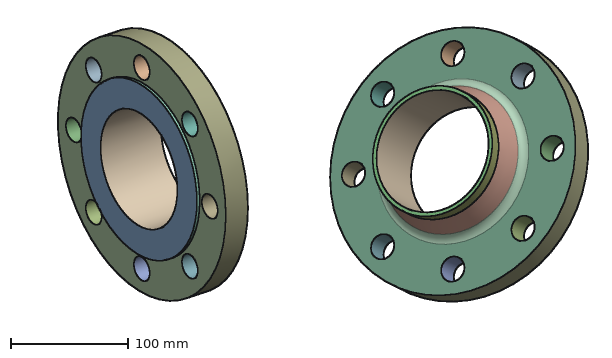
import cadquery as cq

flange_diameter = 235.0
overall_length = 65.0
raised_face_diameter = 162.2
raised_face_height = 3.0
flange_thickness = 24.0
bore_diameter = 107.2
neck_diameter = 114.5
neck_straight_length = 12.0
hub_base_diameter = 134.0
hub_fillet_radius = 8.0

bolt_count = 8
bolt_circle_diameter = 190.0
bolt_hole_diameter = 22.0

flange_back = raised_face_height + flange_thickness
cone_end = overall_length - neck_straight_length


def disc(diameter, start, length):
    """Cylinder about the Y axis running from Y = start towards +Y."""
    return cq.Workplane("XZ", origin=(0, start, 0)).circle(diameter / 2).extrude(-length)


def make_hub():
    """Flange plate with the tapered neck, revolved about Y and filleted at the root."""
    body = (
        cq.Workplane("XY")
        .moveTo(0, raised_face_height)
        .lineTo(flange_diameter / 2, raised_face_height)
        .lineTo(flange_diameter / 2, flange_back)
        .lineTo(hub_base_diameter / 2, flange_back)
        .lineTo(neck_diameter / 2, cone_end)
        .lineTo(neck_diameter / 2, overall_length)
        .lineTo(0, overall_length)
        .close()
        .revolve(360, (0, 0, 0), (0, 1, 0))
    )
    root = cq.selectors.RadiusNthSelector(1)
    root_edges = body.edges("%CIRCLE").edges(root)
    return root_edges.fillet(hub_fillet_radius)


def make_bolt_holes():
    """Bolt hole cutters, the first one on the X axis."""
    return (
        cq.Workplane("XZ")
        .polarArray(bolt_circle_diameter / 2, 0, 360, bolt_count)
        .circle(bolt_hole_diameter / 2)
        .extrude(-overall_length)
    )


raised_face = disc(raised_face_diameter, 0, raised_face_height)
bore = disc(bore_diameter, 0, overall_length)

result = make_hub().union(raised_face).cut(bore).cut(make_bolt_holes())